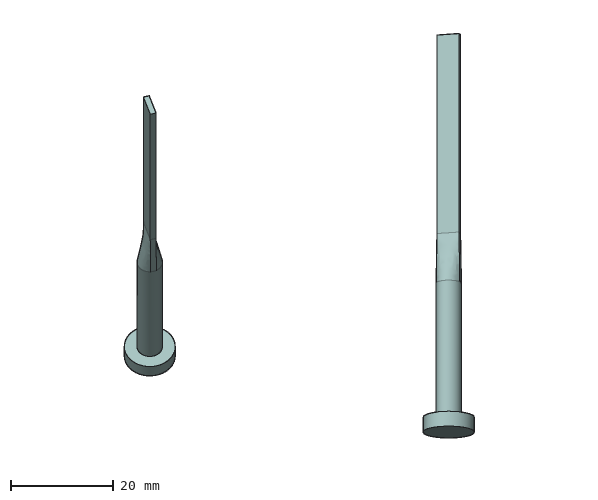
import cadquery as cq
import math

total_height = 80.0
head_diameter = 10.0
head_height = 3.0

shank_diameter = 5.0
shank_top = 30.0

blade_width = 4.5
blade_thickness = 1.2
blade_bottom = 40.0

shank_radius = shank_diameter / 2
half_width = blade_width / 2
half_thickness = blade_thickness / 2


def make_head():
    return cq.Workplane("XY").circle(head_diameter / 2).extrude(head_height)


def make_shank():
    return (
        cq.Workplane("XY")
        .workplane(offset=head_height)
        .circle(shank_radius)
        .extrude(shank_top - head_height)
    )


def make_transition():
    """Ruled loft from the shank circle to the blade rectangle.

    The circle is split into four arcs, one for each side of the rectangle.
    """
    corner_x = math.sqrt(shank_radius**2 - half_thickness**2)
    return (
        cq.Workplane("XY")
        .workplane(offset=shank_top)
        .moveTo(corner_x, -half_thickness)
        .threePointArc((shank_radius, 0), (corner_x, half_thickness))
        .threePointArc((0, shank_radius), (-corner_x, half_thickness))
        .threePointArc((-shank_radius, 0), (-corner_x, -half_thickness))
        .threePointArc((0, -shank_radius), (corner_x, -half_thickness))
        .close()
        .workplane(offset=blade_bottom - shank_top)
        .moveTo(half_width, -half_thickness)
        .lineTo(half_width, half_thickness)
        .lineTo(-half_width, half_thickness)
        .lineTo(-half_width, -half_thickness)
        .close()
        .loft(ruled=True)
    )


def make_blade():
    return (
        cq.Workplane("XY")
        .workplane(offset=blade_bottom)
        .rect(blade_width, blade_thickness)
        .extrude(total_height - blade_bottom)
    )


result = make_head().union(make_shank()).union(make_transition()).union(make_blade())